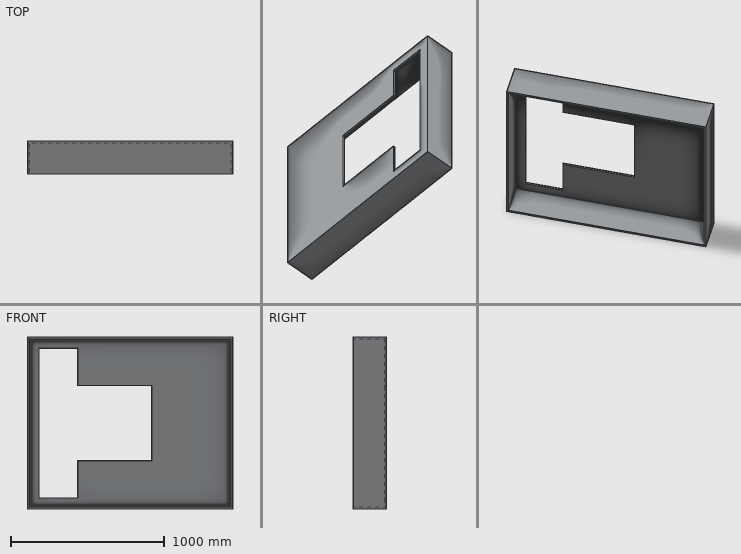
import cadquery as cq

width = 1335.0
depth = 216.0
height = 1120.0

wall = 13.0
back = 13.0

opening_left = 75.0
slot_width = 251.0
slot_height = 972.0
window_width = 480.0
window_height = 489.0


def block(x_start, y_start, x_size, y_size, z_size):
    """Box placed by its left and front faces, centred on Z = 0."""
    box = cq.Workplane("XY").box(x_size, y_size, z_size, centered=(False, False, True))
    return box.translate((x_start, y_start, 0))


outer = block(0, 0, width, depth, height)
cavity = block(wall, 0, width - 2 * wall, depth - back, height - 2 * wall)
tray = outer.cut(cavity)

slot = block(opening_left, 0, slot_width, depth, slot_height)
window = block(opening_left, 0, slot_width + window_width, depth, window_height)

result = tray.cut(slot.union(window))